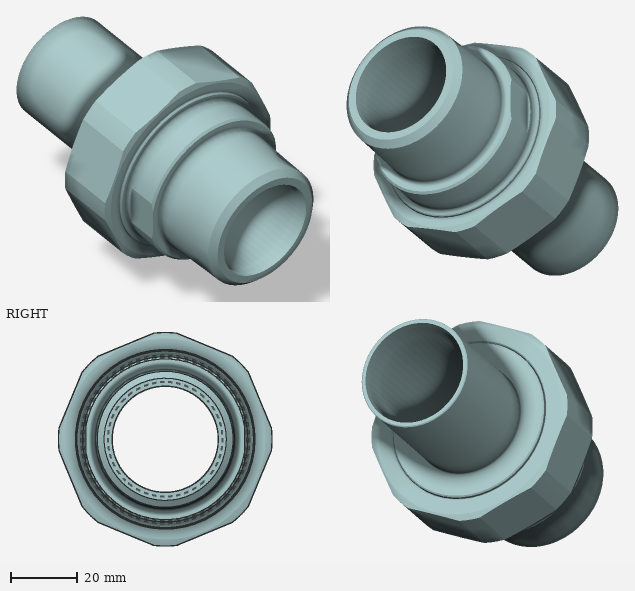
import cadquery as cq
import math

length = 98.0
tail_face_x = 40.6
nut_start_x = 41.2
nut_end_x = 61.4
shoulder_x = 46.1
joint_x = 51.9
thread_end_x = 62.2
flat_start_x = 63.8
collar_end_x = 73.8

tube_diameter = 35.0
tail_bore = 32.2
tube_chamfer = 0.3
collar_diameter = 50.0
collar_chamfer = 0.4
root_fillet = 0.4

nut_sides = 8
nut_across_flats = 62.0
nut_across_corners = 64.7
nut_face_diameter = 60.9
nut_chamfer_length = 0.6
nut_hole = 50.5
nut_hole_chamfer = 0.4
nut_thread_bore = 54.4

thread_diameter = 54.0
thread_chamfer = 0.3
adapter_bore = 32.0
adapter_collar_diameter = 50.0
adapter_collar_chamfer = 0.7
collar_root_fillet = 0.5
flat_distance = 48.0
taper_ratio = 1 / 16
taper_base_diameter = 42.4
taper_root_fillet = 0.8
end_chamfer = 2.1


def turned(profile):
    """Revolve a closed outline, drawn as (x, radius), about the X axis."""
    return profile.close().revolve(360, (0, 0, 0), (1, 0, 0))


def cylinder(diameter, start_x, end_x):
    plane = cq.Workplane("YZ", origin=(start_x, 0, 0))
    return plane.circle(diameter / 2).extrude(end_x - start_x)


def make_tailpiece():
    tube_radius = tube_diameter / 2
    collar_radius = collar_diameter / 2
    root_radius = tube_radius + root_fillet
    arc_offset = root_fillet * math.sqrt(0.5)
    root_middle = (tail_face_x - root_fillet + arc_offset, root_radius - arc_offset)
    return turned(
        cq.Workplane("XY")
        .moveTo(0, tail_bore / 2)
        .lineTo(0, tube_radius - tube_chamfer)
        .lineTo(tube_chamfer, tube_radius)
        .lineTo(tail_face_x - root_fillet, tube_radius)
        .threePointArc(root_middle, (tail_face_x, root_radius))
        .lineTo(tail_face_x, collar_radius - collar_chamfer)
        .lineTo(tail_face_x + collar_chamfer, collar_radius)
        .lineTo(shoulder_x, collar_radius)
        .lineTo(shoulder_x, thread_diameter / 2)
        .lineTo(joint_x, thread_diameter / 2)
        .lineTo(joint_x, tail_bore / 2)
    )


def make_nut():
    circumscribed_diameter = nut_across_flats / math.cos(math.pi / nut_sides)
    octagon = (
        cq.Workplane("YZ", origin=(nut_start_x, 0, 0))
        .polygon(nut_sides, circumscribed_diameter)
        .extrude(nut_end_x - nut_start_x)
    )
    face_radius = nut_face_diameter / 2
    corner_radius = nut_across_corners / 2
    blank = turned(
        cq.Workplane("XY")
        .moveTo(nut_start_x, 0)
        .lineTo(nut_start_x, face_radius)
        .lineTo(nut_start_x + nut_chamfer_length, corner_radius)
        .lineTo(nut_end_x - nut_chamfer_length, corner_radius)
        .lineTo(nut_end_x, face_radius)
        .lineTo(nut_end_x, 0)
    )
    hole_radius = nut_hole / 2
    opening = turned(
        cq.Workplane("XY")
        .moveTo(nut_start_x, 0)
        .lineTo(nut_start_x, hole_radius + nut_hole_chamfer)
        .lineTo(nut_start_x + nut_hole_chamfer, hole_radius)
        .lineTo(shoulder_x, hole_radius)
        .lineTo(shoulder_x, nut_thread_bore / 2)
        .lineTo(nut_end_x, nut_thread_bore / 2)
        .lineTo(nut_end_x, 0)
    )
    return octagon.intersect(blank).cut(opening)


def make_union_end():
    """Threaded end inside the nut, with the collar behind it."""
    thread = cylinder(thread_diameter, joint_x, thread_end_x).faces(">X").chamfer(thread_chamfer)
    collar = cylinder(adapter_collar_diameter, joint_x, collar_end_x)
    collar = collar.faces(">X").chamfer(adapter_collar_chamfer)
    root_radius = adapter_collar_diameter / 2 + collar_root_fillet
    arc_offset = collar_root_fillet * math.sqrt(0.5)
    root_end_x = thread_end_x + collar_root_fillet
    root = turned(
        cq.Workplane("XY")
        .moveTo(joint_x, 0)
        .lineTo(joint_x, root_radius)
        .lineTo(thread_end_x, root_radius)
        .threePointArc(
            (root_end_x - arc_offset, root_radius - arc_offset),
            (root_end_x, adapter_collar_diameter / 2),
        )
        .lineTo(root_end_x, 0)
    )
    return thread.union(collar).union(root)


def cut_wrench_flats(body):
    flat_length = collar_end_x - flat_start_x
    depth = (adapter_collar_diameter - flat_distance) / 2
    for side in (-1, 1):
        cutter = cq.Workplane("XY").box(flat_length, depth, adapter_collar_diameter).translate(
            (flat_start_x + flat_length / 2, side * (flat_distance + depth) / 2, 0)
        )
        body = body.cut(cutter)
    return body


def make_taper():
    base_radius = taper_base_diameter / 2
    root_end_x = collar_end_x + taper_root_fillet
    chamfer_start_x = length - end_chamfer
    tip_radius = base_radius - (chamfer_start_x - root_end_x) * taper_ratio / 2
    root_radius = base_radius + taper_root_fillet
    arc_offset = taper_root_fillet * math.sqrt(0.5)
    return turned(
        cq.Workplane("XY")
        .moveTo(joint_x, 0)
        .lineTo(joint_x, root_radius)
        .lineTo(collar_end_x, root_radius)
        .threePointArc(
            (root_end_x - arc_offset, root_radius - arc_offset),
            (root_end_x, base_radius),
        )
        .lineTo(chamfer_start_x, tip_radius)
        .lineTo(length, tip_radius - end_chamfer)
        .lineTo(length, 0)
    )


def make_adapter():
    body = cut_wrench_flats(make_union_end())
    return body.union(make_taper()).cut(cylinder(adapter_bore, joint_x, length))


tailpiece = make_tailpiece()
nut = make_nut()
adapter = make_adapter()

result = cq.Compound.makeCompound([tailpiece.val(), nut.val(), adapter.val()])